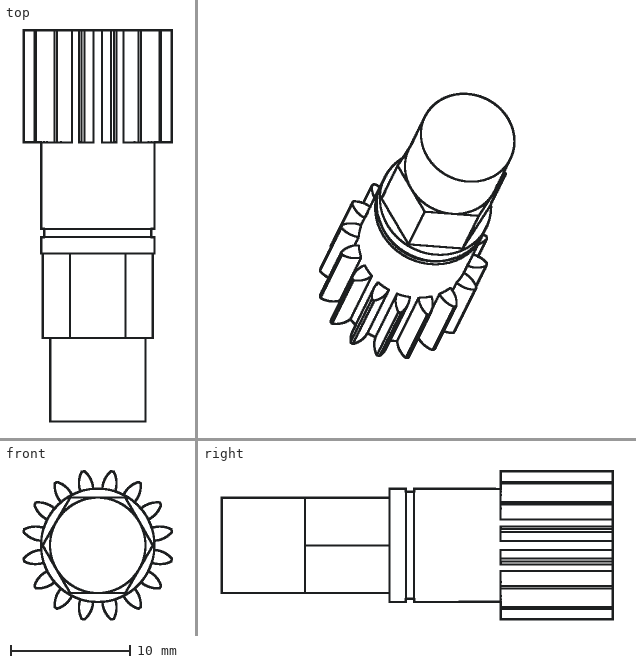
import cadquery as cq
import math

total_length = 32.77
gear_length = 9.4
collar_end = 18.7
groove_start = 16.65
groove_width = 0.7
hex_length = 7.08

gear_width = 12.42
tooth_count = 16
tooth_pitch_angle = 360.0 / tooth_count
root_radius = 4.75
middle_radius = 5.5
root_half_width = 0.55
middle_half_width = 0.52
tip_half_angle = 1.1
outermost_tip_angle = tooth_pitch_angle / 2 - tip_half_angle
tip_radius = gear_width / 2 / math.cos(math.radians(outermost_tip_angle))
tip_half_width = tip_radius * math.sin(math.radians(tip_half_angle))
core_overlap = 0.33

groove_radius = 4.5
journal_diameter = 8.0
hex_across_flats = journal_diameter
hex_across_corners = hex_across_flats / math.cos(math.pi / 6)


def section_at(distance):
    """Plane across the shaft at a distance from the gear face; extrusion runs toward -Y."""
    return cq.Workplane("XZ", origin=(0, -distance, 0))


def height_at(radius, half_width):
    """Height along the tooth's centre line of a point at this radius."""
    return math.sqrt(radius**2 - half_width**2)


def tooth(length):
    """One tooth pointing along +Z, with arc flanks and a narrow tip land."""
    root_height = height_at(root_radius, root_half_width)
    middle_height = height_at(middle_radius, middle_half_width)
    tip_height = height_at(tip_radius, tip_half_width)
    return (
        section_at(0)
        .moveTo(-root_half_width, root_height - core_overlap)
        .lineTo(-root_half_width, root_height)
        .threePointArc((-middle_half_width, middle_height), (-tip_half_width, tip_height))
        .threePointArc((0, tip_radius), (tip_half_width, tip_height))
        .threePointArc((middle_half_width, middle_height), (root_half_width, root_height))
        .lineTo(root_half_width, root_height - core_overlap)
        .close()
        .extrude(length)
    )


result = section_at(0).circle(root_radius).extrude(collar_end)

single_tooth = tooth(gear_length)
for index in range(tooth_count):
    angle = (index + 0.5) * tooth_pitch_angle
    result = result.union(single_tooth.rotate((0, 0, 0), (0, 1, 0), angle))

groove = section_at(groove_start).circle(root_radius).circle(groove_radius).extrude(groove_width)
result = result.cut(groove)

result = result.union(section_at(collar_end).polygon(6, hex_across_corners).extrude(hex_length))

journal_start = collar_end + hex_length
journal_length = total_length - journal_start
result = result.union(section_at(journal_start).circle(journal_diameter / 2).extrude(journal_length))